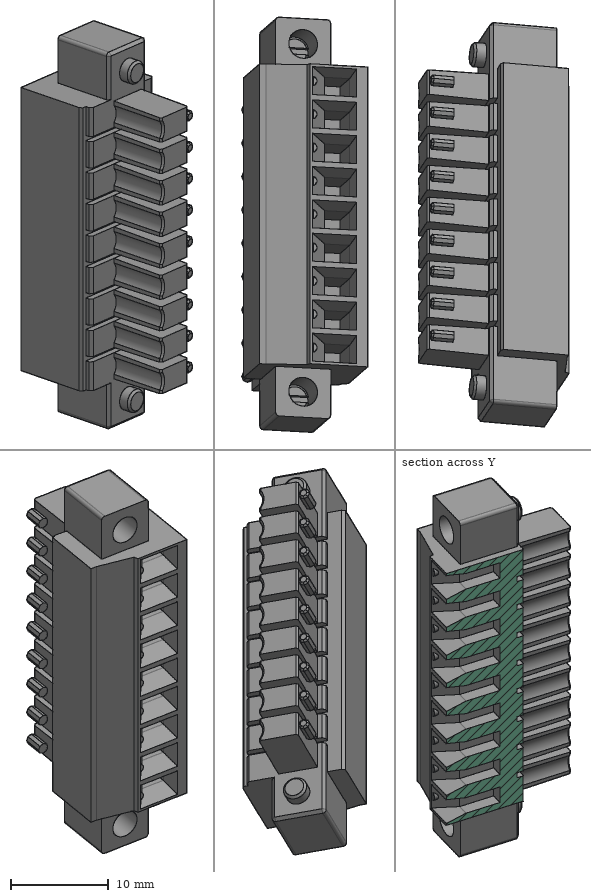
import cadquery as cq

total_height = 41.9
body_height = 31.5
pole_count = 9
pole_pitch = body_height / pole_count
pole_heights = [(i - (pole_count - 1) / 2) * pole_pitch for i in range(pole_count)]

body_y_min = -5.55
body_y_max = 5.57
body_back_x = 8.35
lip_front_x = 1.25
lip_y = 4.9
slope_end_x = 0.45
slope_end_y = 0.75
front_face_top_y = 0.6
body_chamfer = 0.38
body_chamfer_side = 0.2

collar_back_x = 9.05
collar_y_min = -4.85
collar_height = 2.95
flange_front_x = 2.05
flange_y_min = -2.15
flange_y_max = 3.7
edge_chamfer = 0.35
flange_fillet = 0.38
overlap = 0.4

pin_end_x = 15.5
pin_y_min = -1.35
pin_y_max = 2.85
pin_root_height = 2.95
pin_tip_height = 2.7
pin_chamfer = 0.2
pin_groove_diameter = 3.0
pin_groove_width = 1.9
rib_sides = 8
rib_width = 1.1
rib_start_x = 12.95
rib_end_x = 15.3
rib_top_y = 3.95
rib_chamfer = 0.2

mouth_y_max = 0.3
mouth_y_min = -4.35
mouth_height = 2.95
throat_y_max = -1.55
throat_y_min = -4.2
throat_height = 1.9
throat_x = 2.3
throat_end_x = 6.3
stud_diameter = 0.95
stud_front_x = 0.13
stud_end_x = 2.1

screw_y = (flange_y_min + flange_y_max) / 2
screw_z = 18.25
screw_hole_diameter = 3.0
screw_seat_x = 7.12
screw_head_thickness = 1.68
screw_head_chamfer = 0.25
screw_slot_width = 0.65
screw_slot_depth = 0.63
screw_diameter = 2.5
screw_end_x = 10.35
screw_tip_chamfer = 0.25


def block(x_range, y_range, z_range):
    """Box given by its limits along each axis."""
    size = [high - low for low, high in (x_range, y_range, z_range)]
    corner = (x_range[0], y_range[0], z_range[0])
    return cq.Workplane("XY").box(*size, centered=False).translate(corner)


def rod(diameter, x_start, x_end, y, z):
    """Cylinder running along X."""
    plane = cq.Workplane("YZ", origin=(x_start, y, z))
    return plane.circle(diameter / 2).extrude(x_end - x_start)


def centred(z, height):
    """Z limits of a feature centred on z."""
    return (z - height / 2, z + height / 2)


def make_body():
    profile = [
        (0, body_y_min),
        (body_back_x, body_y_min),
        (body_back_x, body_y_max),
        (lip_front_x, body_y_max),
        (lip_front_x, lip_y),
        (slope_end_x, slope_end_y),
        (0, front_face_top_y),
    ]
    body = cq.Workplane("XY").polyline(profile).close().extrude(body_height / 2, both=True)
    long_back_edges = body.faces(">X").edges("|Z")
    return long_back_edges.chamfer(body_chamfer, body_chamfer_side)


def collar_limits(z):
    """Z limits of a collar; the two outermost collars run out to the body ends."""
    low, high = centred(z, collar_height)
    if z == pole_heights[0]:
        low = -body_height / 2
    if z == pole_heights[-1]:
        high = body_height / 2
    return (low, high)


def make_collar(z_range):
    x_range = (body_back_x - overlap, collar_back_x)
    collar = block(x_range, (collar_y_min, flange_y_max), z_range)
    return collar.edges(">X and |Z").chamfer(edge_chamfer)


def make_flange():
    """Screw flange at the +Z end."""
    z_range = (body_height / 2 - overlap, total_height / 2)
    flange = block((flange_front_x, collar_back_x), (flange_y_min, flange_y_max), z_range)
    flange = flange.edges(">Z and |X").fillet(flange_fillet)
    return flange.faces(">X").edges("not <Z").chamfer(edge_chamfer)


def make_screw():
    """Slotted screw whose head sits deep in the flange hole."""
    head_x = screw_seat_x - screw_head_thickness
    head = rod(screw_hole_diameter, head_x, screw_seat_x, screw_y, screw_z)
    head = head.faces("<X").chamfer(screw_head_chamfer)
    slot_y = (screw_y - screw_hole_diameter, screw_y + screw_hole_diameter)
    slot = block((head_x, head_x + screw_slot_depth), slot_y, centred(screw_z, screw_slot_width))
    shank = rod(screw_diameter, screw_seat_x, screw_end_x, screw_y, screw_z)
    shank = shank.faces(">X").chamfer(screw_tip_chamfer)
    return head.cut(slot).union(shank)


def make_rib():
    """Octagonal key rib lying along X with a bevelled end."""
    axis_y = rib_top_y - rib_width / 2
    flat_up_turn = 180 / rib_sides
    rib = cq.Workplane("YZ", origin=(rib_start_x, 0, 0)).polygon(rib_sides, rib_width, circumscribed=True)
    rib = rib.extrude(rib_end_x - rib_start_x)
    rib = rib.rotate((0, 0, 0), (1, 0, 0), flat_up_turn)
    return rib.faces(">X").chamfer(rib_chamfer).translate((0, axis_y, 0))


def make_pin(z):
    """Tapered pin with a shallow trough on its -Y side and a key rib on its +Y side."""
    start_x = collar_back_x - overlap
    outline = [
        (start_x, -pin_root_height / 2),
        (pin_end_x, -pin_tip_height / 2),
        (pin_end_x, pin_tip_height / 2),
        (start_x, pin_root_height / 2),
    ]
    pin = cq.Workplane("XZ", origin=(0, pin_y_min, 0)).polyline(outline).close()
    pin = pin.extrude(pin_y_min - pin_y_max)

    groove_radius = pin_groove_diameter / 2
    centre_offset = (groove_radius ** 2 - (pin_groove_width / 2) ** 2) ** 0.5
    groove = rod(pin_groove_diameter, collar_back_x, pin_end_x, pin_y_min - centre_offset, 0)
    pin = pin.cut(groove)
    pin = pin.faces(">X").edges("not |Y").chamfer(pin_chamfer)
    return pin.union(make_rib()).translate((0, 0, z))


def make_funnel(z):
    """Rectangular mouth narrowing to a straight throat, with a half-round stud left on its slope."""
    mouth_y = (mouth_y_min + mouth_y_max) / 2
    throat_y = (throat_y_min + throat_y_max) / 2
    mouth_width = mouth_y_max - mouth_y_min
    throat_width = throat_y_max - throat_y_min
    taper = (
        cq.Workplane("YZ", origin=(0, mouth_y, z))
        .rect(mouth_width, mouth_height)
        .workplane(offset=throat_x)
        .center(throat_y - mouth_y, 0)
        .rect(throat_width, throat_height)
        .loft(ruled=True)
    )
    throat = block((throat_x, throat_end_x), (throat_y_min, throat_y_max), centred(z, throat_height))
    stud = rod(stud_diameter, stud_front_x, stud_end_x, mouth_y_max, z)
    return taper.union(throat).cut(stud)


flange = make_flange()
screw_hole = rod(screw_hole_diameter, flange_front_x, screw_seat_x, screw_y, screw_z)
screw_end = flange.cut(screw_hole).union(make_screw())

result = make_body().union(screw_end).union(screw_end.mirror("XY"))
for pole_z in pole_heights:
    result = result.union(make_collar(collar_limits(pole_z)))
    result = result.union(make_pin(pole_z))
for pole_z in pole_heights:
    result = result.cut(make_funnel(pole_z))